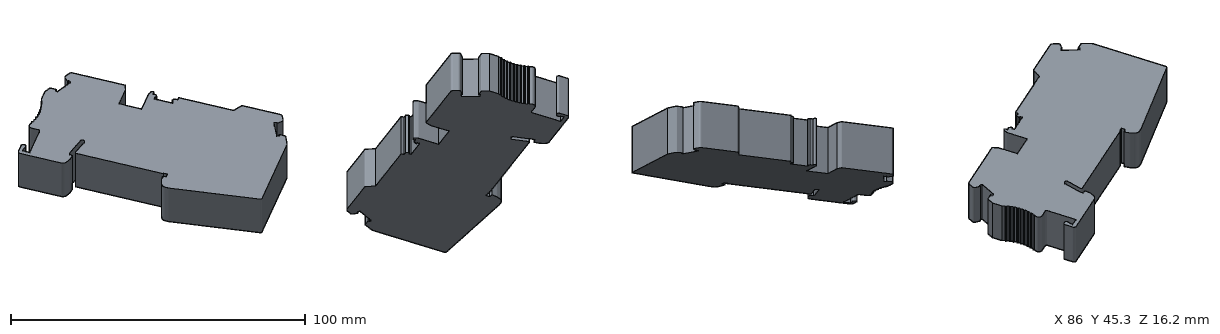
import cadquery as cq
import math

LENGTH = 86.0
HEIGHT = 45.3
THICKNESS = 16.2

LEFT_TOP = 42.2
RAIL_SEAT = 5.95
FOOT_X = 0.4
FOOT_WALL = 4.25
GRIP_BOTTOM = 12.7
FOOT_FLOOR = 1.5
HOOK_TOP = 4.45
SMALL_ROUND = 0.5

LABEL_MIRROR_SUM = 85.45
LABEL_RISE = HEIGHT - LEFT_TOP

CLAW_LEFT = 50.55
CLAW_RIGHT = 51.85
CLAW_TOP = 6.2

GRIP_CENTRE_Y = 20.7
GRIP_CHORD = 12.9
GRIP_DEPTH = 1.45
TOOTH_COUNT = 9
TOOTH_PITCH = 1.295
TOOTH_BASE = 0.6
TOOTH_TIP = 0.1
TOOTH_HEIGHT = 0.3
TOOTH_ROOT = 0.2

SLOT_LEFT = 25.75
SLOT_RIGHT = 33.8
SLOT_FLOOR = 33.1
POST_RIGHT = 35.25

RECESS_LEFT = 36.35
RECESS_RIGHT = 42.85
RECESS_FLOOR = 39.05
RECESS_LEDGE = 41.15
RECESS_STEP = 44.05
LIP_REACH = 0.5
LIP_TOP = 40.35
LIP_BOTTOM = 39.9




def grip_side():
    """Left side: rounded lower edge of the grip, then up past the hollow, which is cut later."""
    return [
        (-0.65, GRIP_BOTTOM, 1.3),
        (0.14, 14.6, 0),
        (0, GRIP_CENTRE_Y, 0),
        (0, 30.6, 0),
    ]


def label_slot_left():
    """Undercut slot for a label strip on the left, going upwards."""
    return [
        (1.1, 32.95, 0.4),
        (3.5, 32.95, 0),
        (3.25, 32.4, 0),
        (4.05, 32.05, 0),
        (6.95, 37.75, 0),
        (6.05, 38.25, 0),
        (5.8, 37.85, 0),
        (4.1, 39.55, 0.9),
        (5.5, LEFT_TOP, 1.0),
    ]


def label_slot_right():
    """The left label slot mirrored to the right end, going downwards."""
    corners = reversed(label_slot_left())
    return [(LABEL_MIRROR_SUM - x, y + LABEL_RISE, r) for x, y, r in corners]


def left_foot():
    """Rail foot with a small outer hook, from its inner edge to the wall behind it."""
    return [
        (17.25, 4.85, 0),
        (18.5, 4.55, 0),
        (18.25, 2.6, 1.5),
        (17.1, 0, 1.8),
        (FOOT_X, 0, 0.9),
        (FOOT_X, HOOK_TOP, 0.7),
        (2.1, HOOK_TOP, 0.7),
        (2.1, 3.5, 0.3),
        (1.65, 2.4, 0.3),
        (1.65, FOOT_FLOOR, 0),
        (FOOT_WALL, FOOT_FLOOR, 0),
        (FOOT_WALL, GRIP_BOTTOM, SMALL_ROUND),
    ]


def top_deck():
    """Deep screwdriver slot, rounded post and marker recess, left to right."""
    return [
        (25.0, LEFT_TOP, 0.2),
        (SLOT_LEFT, 40.2, 0),
        (SLOT_LEFT, SLOT_FLOOR, 0),
        (SLOT_RIGHT, SLOT_FLOOR, 0),
        (SLOT_RIGHT, 40.6, 1.0),
        (34.4, LEFT_TOP, 0.5),
        (POST_RIGHT, LEFT_TOP, 0.3),
        (POST_RIGHT, RECESS_LEDGE, 0),
        (RECESS_LEFT, RECESS_LEDGE, 0),
        (RECESS_LEFT + LIP_REACH, LIP_TOP, 0),
        (RECESS_LEFT + LIP_REACH, LIP_BOTTOM, 0),
        (RECESS_LEFT, LIP_BOTTOM, 0),
        (RECESS_LEFT, RECESS_FLOOR, 0),
        (RECESS_RIGHT, RECESS_FLOOR, 0),
        (RECESS_RIGHT, LIP_BOTTOM, 0),
        (RECESS_RIGHT - LIP_REACH, LIP_BOTTOM, 0),
        (RECESS_RIGHT - LIP_REACH, LIP_TOP, 0),
        (RECESS_RIGHT, RECESS_LEDGE, 0),
        (RECESS_STEP, RECESS_LEDGE, 0),
        (RECESS_STEP, LEFT_TOP, 0),
        (63.7, LEFT_TOP, 0),
        (65.65, HEIGHT, SMALL_ROUND),
    ]


def right_foot():
    """Right end, sloping underside and fixed rail claw, right to left."""
    return [
        (LENGTH, 32.5, 0),
        (LENGTH, 4.7, 0.6),
        (54.4, 0, 0),
        (51.9, 0, 1.9),
        (50.9, 2.5, 1.5),
        (CLAW_LEFT, 4.6, 0),
        (CLAW_RIGHT, 4.9, 0),
        (CLAW_RIGHT, CLAW_TOP, 0),
        (CLAW_LEFT, CLAW_TOP, 0),
        (CLAW_LEFT, RAIL_SEAT, 0),
    ]


def spring_slot():
    """Narrow slanted slot that lets the left foot flex."""
    return [
        (18.8, RAIL_SEAT, 0.4),
        (20.55, GRIP_BOTTOM, 0.7),
        (19.0, GRIP_BOTTOM, 0.7),
        (17.25, 5.8, 0),
    ]


def rounded_outline(corners):
    """Closed wire through the corners; a radius above 0 rounds that corner."""
    count = len(corners)
    wire = None
    for i, (x, y, radius) in enumerate(corners):
        corner = cq.Vector(x, y)
        before = (cq.Vector(*corners[i - 1][:2]) - corner).normalized()
        after = (cq.Vector(*corners[(i + 1) % count][:2]) - corner).normalized()
        half_angle = before.getAngle(after) / 2
        setback = radius / math.tan(half_angle)
        start = corner + before * setback
        if wire is None:
            wire = cq.Workplane("XY").moveTo(start.x, start.y)
        else:
            wire = wire.lineTo(start.x, start.y)
        if radius > 0:
            bisector = (before + after).normalized()
            middle = corner + bisector * (radius / math.sin(half_angle) - radius)
            end = corner + after * setback
            wire = wire.threePointArc((middle.x, middle.y), (end.x, end.y))
    return wire.close()


def grip_radius():
    """Radius of the hollow, from its chord and depth."""
    return ((GRIP_CHORD / 2) ** 2 + GRIP_DEPTH**2) / (2 * GRIP_DEPTH)


def grip_hollow():
    """Cylinder that scoops the shallow finger hollow out of the left side."""
    radius = grip_radius()
    return cq.Workplane("XY").center(GRIP_DEPTH - radius, GRIP_CENTRE_Y).circle(radius).extrude(THICKNESS)


def grip_tooth(offset):
    """Small rib standing square to the hollow, offset in Y from its middle."""
    radius = grip_radius()
    axis_x = GRIP_DEPTH - radius
    half_base = TOOTH_BASE / 2
    half_tip = TOOTH_TIP / 2
    root_x = GRIP_DEPTH + TOOTH_ROOT
    tip_x = GRIP_DEPTH - TOOTH_HEIGHT
    angle = math.degrees(math.asin(offset / radius))
    return (
        cq.Workplane("XY")
        .moveTo(root_x, GRIP_CENTRE_Y - half_base)
        .lineTo(GRIP_DEPTH, GRIP_CENTRE_Y - half_base)
        .lineTo(tip_x, GRIP_CENTRE_Y - half_tip)
        .lineTo(tip_x, GRIP_CENTRE_Y + half_tip)
        .lineTo(GRIP_DEPTH, GRIP_CENTRE_Y + half_base)
        .lineTo(root_x, GRIP_CENTRE_Y + half_base)
        .close()
        .extrude(THICKNESS)
        .rotate((axis_x, GRIP_CENTRE_Y, 0), (axis_x, GRIP_CENTRE_Y, 1), angle)
    )


outline = (
    left_foot()
    + grip_side()
    + label_slot_left()
    + top_deck()
    + label_slot_right()
    + right_foot()
    + spring_slot()
)
result = rounded_outline(outline).extrude(THICKNESS).cut(grip_hollow())
for index in range(TOOTH_COUNT):
    offset = (index - (TOOTH_COUNT - 1) / 2) * TOOTH_PITCH
    result = result.union(grip_tooth(offset))